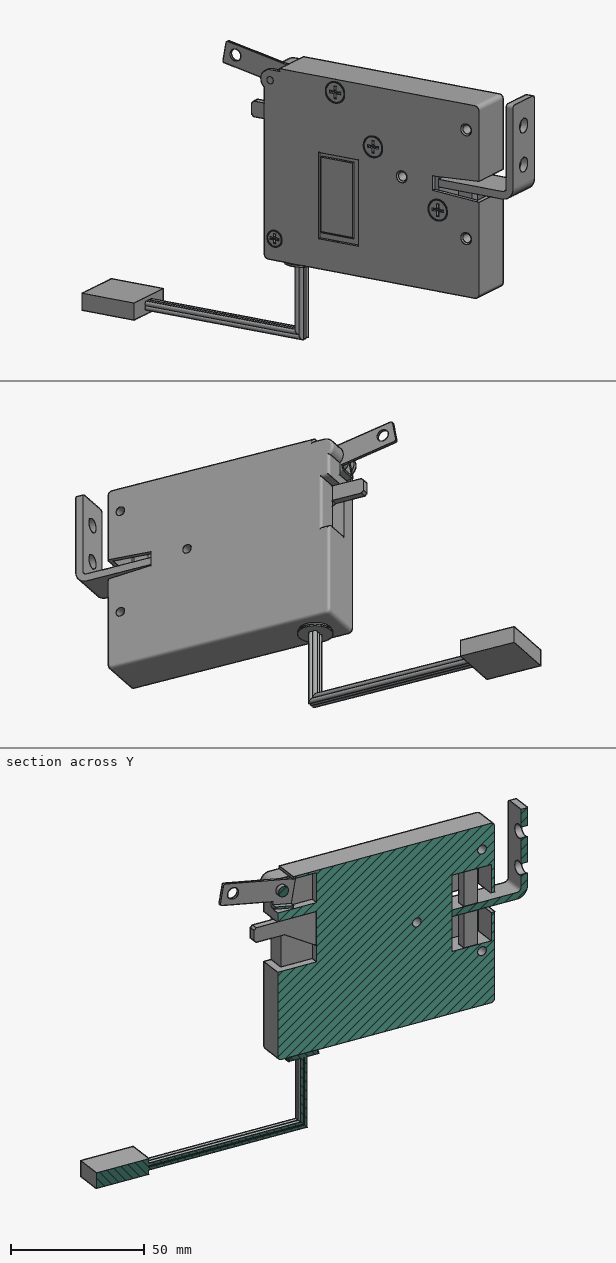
import cadquery as cq
import math

OVERALL_LENGTH = 187.2

HOUSING_LENGTH = 94.3
HOUSING_DEPTH = 18.2
HOUSING_HEIGHT = 75.6
CORNER_RADIUS = 1.9
BACK_RADIUS = 1.1
STEP_LENGTH = 6.7
STEP_DROP = 1.1

PIVOT_X = 2.6
PIVOT_Z = 70.4
STEP_Z = HOUSING_HEIGHT - STEP_DROP
LUG_RADIUS = STEP_Z - PIVOT_Z
LEVER_FRONT = 1.7
LEVER_BACK = 10.1
LEVER_POCKET_BOTTOM = 62.2
LEVER_POCKET_RIGHT = 16.8

LEVER_ANGLE = 10.5
LEVER_SHEET = 1.1
ARM_HOLE_REACH = 21.2
ARM_HOLE_DIAMETER = 4.7
ARM_TIP = 26.0
ARM_TOP = 4.1
ARM_BOTTOM = -4.7
ARM_TIP_RADIUS = 0.7
CHANNEL_INNER_END = -5.6
CHANNEL_OUTER_END = 2.6
CHANNEL_BOTTOM = -7.1
EAR_TOP = 3.7
EAR_RADIUS = 2.2

PIN_DIAMETER = 2.8
PIN_SLEEVE_DIAMETER = 4.5
PIN_LENGTH = 13.1

NOTCH_DEPTH = 3.2
PLUNGER_SLOT_DEPTH = 16.8
PLUNGER_SLOT_FRONT = 6.7
PLUNGER_SLOT_TOP = 58.2
PLUNGER_SLOT_BOTTOM = 37.3
PLUNGER_THICKNESS = 2.8
PLUNGER_REACH = 10.1
PLUNGER_HEIGHT = 6.2
PLUNGER_FOOT_DROP = 8.0
PLUNGER_TIP_CHAMFER = 1.0

SWITCH_LEFT = 23.8
SWITCH_RIGHT = 41.4
SWITCH_BOTTOM = 11.8
SWITCH_TOP = 45.7
SWITCH_POCKET_DEPTH = 1.3
ROCKER_LEFT_GAP = 1.1
ROCKER_RIGHT_GAP = 2.6
ROCKER_TOP_GAP = 1.7
ROCKER_BOTTOM_GAP = 2.2
ROCKER_BEVEL = 0.7

MOUNTING_HOLES = [(88.7, 65.5), (60.5, 42.3), (88.7, 22.8)]
MOUNTING_HOLE_DIAMETER = 3.5
MOUNTING_HOLE_CHAMFER = 0.5

LARGE_SCREWS = [(31.0, 70.4), (47.7, 51.9), (76.2, 31.8)]
LARGE_HEAD_DIAMETER = 7.9
LARGE_CROSS_LENGTH = 4.9
SMALL_SCREWS = [(4.5, 8.5)]
SMALL_HEAD_DIAMETER = 6.0
SMALL_CROSS_LENGTH = 3.7
HEAD_GROOVE_WIDTH = 0.28
HEAD_GROOVE_DEPTH = 0.5
CROSS_WIDTH = 1.0
CROSS_DEPTH = 1.5

STRIKER_SLOT_LEFT = 74.0
STRIKER_SLOT_END_HEIGHT = 5.6
STRIKER_SLOT_MOUTH_HEIGHT = 8.2
STRIKER_SLOT_LEDGE = 1.9
COVER_THICKNESS = 1.7
CAVITY_BOTTOM = 26.2
CAVITY_TOP = 58.0
GUIDE_LEFT = 80.9
GUIDE_LENGTH = 6.0
GUIDE_DEPTH = 3.7

STRIKER_SHEET = 3.0
STRIKER_RIGHT = 108.5
STRIKER_BOTTOM = 40.6
STRIKER_TOP = 78.0
STRIKER_FRONT = 1.1
STRIKER_WIDTH = 15.4
STRIKER_INNER_RADIUS = 1.7
STRIKER_CORNER_RADIUS = 1.3
STRIKER_HOLE_COUNT = 2
STRIKER_HOLE_DIAMETER = 5.6
STRIKER_HOLE_FROM_TOP = 10.0
STRIKER_HOLE_SPACING = 15.4

CABLE_X = 11.5
CABLE_Y = 8.2
CABLE_Z = -29.8
GROMMET_DIAMETER = 13.3
GROMMET_NECK_DIAMETER = 12.4
GROMMET_HEIGHT = 1.7
GROMMET_FLANGE = 0.7
WIRE_DIAMETER = 1.9
WIRE_PITCH = 1.7
WIRE_LAYERS = 2
WIRES_PER_LAYER = 3
CONNECTOR_LEFT = STRIKER_RIGHT - OVERALL_LENGTH
CONNECTOR_LENGTH = 22.8
CONNECTOR_WIDTH = 21.0
CONNECTOR_HEIGHT = 6.7

STRIKER_MIDDLE_Z = STRIKER_BOTTOM + STRIKER_SHEET / 2
STRIKER_END = STRIKER_SLOT_LEFT + STRIKER_SLOT_LEDGE


def block(x0, x1, y0, y1, z0, z1):
    return cq.Workplane("XY").box(x1 - x0, y1 - y0, z1 - z0, centered=False).translate((x0, y0, z0))


def sketch_plane(y):
    """XZ plane at the given Y; extruding by a negative length goes toward +Y."""
    return cq.Workplane("XZ", origin=(0, y, 0))


def rod(x, z, diameter, y0, y1):
    return sketch_plane(y0).center(x, z).circle(diameter / 2).extrude(y0 - y1)


def plunger_notch():
    """Shallow notch in the left side, open to the back."""
    return block(0, NOTCH_DEPTH, LEVER_BACK, HOUSING_DEPTH, PLUNGER_SLOT_BOTTOM, PLUNGER_SLOT_TOP)


def housing_shell():
    arc_bottom_z = PIVOT_Z - math.sqrt(LUG_RADIUS**2 - PIVOT_X**2)
    shell = (
        sketch_plane(0)
        .moveTo(0, 0)
        .lineTo(HOUSING_LENGTH, 0)
        .lineTo(HOUSING_LENGTH, HOUSING_HEIGHT)
        .lineTo(STEP_LENGTH, HOUSING_HEIGHT)
        .lineTo(STEP_LENGTH, STEP_Z)
        .lineTo(PIVOT_X, STEP_Z)
        .threePointArc((PIVOT_X - LUG_RADIUS, PIVOT_Z), (0, arc_bottom_z))
        .close()
        .extrude(-HOUSING_DEPTH)
    )
    bottom_left = cq.selectors.NearestToPointSelector((0, HOUSING_DEPTH / 2, 0))
    shell = shell.edges("|Y").edges(">X").fillet(CORNER_RADIUS)
    shell = shell.edges(bottom_left).fillet(CORNER_RADIUS)
    shell = shell.cut(plunger_notch())
    return shell.faces(">Y").edges().fillet(BACK_RADIUS)


def lever_pocket():
    """Opening around the lever; its inner end reaches under the top wall."""
    pocket_left = PIVOT_X - LUG_RADIUS
    return block(pocket_left, LEVER_POCKET_RIGHT, LEVER_FRONT, LEVER_BACK, LEVER_POCKET_BOTTOM, STEP_Z)


def plunger_slot():
    return block(
        0, PLUNGER_SLOT_DEPTH, PLUNGER_SLOT_FRONT, LEVER_BACK, PLUNGER_SLOT_BOTTOM, PLUNGER_SLOT_TOP
    )


def switch_recess():
    """The pocket around the rocker; the rocker stays flush with the front face."""
    pocket = block(SWITCH_LEFT, SWITCH_RIGHT, 0, SWITCH_POCKET_DEPTH, SWITCH_BOTTOM, SWITCH_TOP)
    rocker = block(
        SWITCH_LEFT + ROCKER_LEFT_GAP,
        SWITCH_RIGHT - ROCKER_RIGHT_GAP,
        0,
        SWITCH_POCKET_DEPTH,
        SWITCH_BOTTOM + ROCKER_BOTTOM_GAP,
        SWITCH_TOP - ROCKER_TOP_GAP,
    )
    rocker = rocker.faces("<Z").edges("<Y").chamfer(ROCKER_BEVEL)
    return pocket.cut(rocker)


def mounting_hole(x, z):
    mouth_radius = MOUNTING_HOLE_DIAMETER / 2 + MOUNTING_HOLE_CHAMFER
    hole = rod(x, z, MOUNTING_HOLE_DIAMETER, 0, HOUSING_DEPTH)
    mouth = cq.Solid.makeCone(
        mouth_radius, mouth_radius - MOUNTING_HOLE_CHAMFER, MOUNTING_HOLE_CHAMFER,
        cq.Vector(x, 0, z), cq.Vector(0, 1, 0),
    )
    return hole.union(cq.Workplane(mouth))


def screw_recess(x, z, head_diameter, cross_length):
    """Ring groove around a screw head and the cross recess in it."""
    groove_diameter = head_diameter + 2 * HEAD_GROOVE_WIDTH
    groove = rod(x, z, groove_diameter, 0, HEAD_GROOVE_DEPTH)
    groove = groove.cut(rod(x, z, head_diameter, 0, HEAD_GROOVE_DEPTH))
    face = sketch_plane(0).center(x, z)
    cross = face.rect(cross_length, CROSS_WIDTH).extrude(-CROSS_DEPTH)
    cross = cross.union(face.rect(CROSS_WIDTH, cross_length).extrude(-CROSS_DEPTH))
    return groove.union(cross)


def striker_opening():
    """Tapered slot, cavity between front and back walls, and the guide left standing around the striker."""
    end_half = STRIKER_SLOT_END_HEIGHT / 2
    mouth_half = STRIKER_SLOT_MOUTH_HEIGHT / 2
    slot = (
        sketch_plane(0)
        .moveTo(STRIKER_SLOT_LEFT, STRIKER_MIDDLE_Z - end_half)
        .lineTo(HOUSING_LENGTH, STRIKER_MIDDLE_Z - mouth_half)
        .lineTo(HOUSING_LENGTH, STRIKER_MIDDLE_Z + mouth_half)
        .lineTo(STRIKER_SLOT_LEFT, STRIKER_MIDDLE_Z + end_half)
        .close()
        .extrude(-HOUSING_DEPTH)
    )
    ledge = block(
        STRIKER_SLOT_LEFT, STRIKER_END, COVER_THICKNESS, HOUSING_DEPTH, CAVITY_BOTTOM, CAVITY_TOP
    )
    cavity = block(
        STRIKER_END, HOUSING_LENGTH - COVER_THICKNESS,
        COVER_THICKNESS, HOUSING_DEPTH - COVER_THICKNESS,
        CAVITY_BOTTOM, CAVITY_TOP,
    )
    guide_front = (HOUSING_DEPTH - GUIDE_DEPTH) / 2
    guide = block(
        GUIDE_LEFT, GUIDE_LEFT + GUIDE_LENGTH,
        guide_front, guide_front + GUIDE_DEPTH,
        CAVITY_BOTTOM, CAVITY_TOP,
    )
    striker_space = block(
        STRIKER_END, HOUSING_LENGTH,
        STRIKER_FRONT, STRIKER_FRONT + STRIKER_WIDTH,
        STRIKER_BOTTOM, STRIKER_BOTTOM + STRIKER_SHEET,
    )
    return slot.cut(ledge).union(cavity).cut(guide.cut(striker_space))


def make_housing():
    housing = housing_shell()
    housing = housing.cut(lever_pocket()).cut(plunger_slot())
    housing = housing.cut(switch_recess()).cut(striker_opening())
    housing = housing.cut(rod(PIVOT_X, PIVOT_Z, PIN_DIAMETER, 0, PIN_LENGTH))
    for x, z in MOUNTING_HOLES:
        housing = housing.cut(mounting_hole(x, z))
    for x, z in LARGE_SCREWS:
        housing = housing.cut(screw_recess(x, z, LARGE_HEAD_DIAMETER, LARGE_CROSS_LENGTH))
    for x, z in SMALL_SCREWS:
        housing = housing.cut(screw_recess(x, z, SMALL_HEAD_DIAMETER, SMALL_CROSS_LENGTH))
    return housing


def make_lever():
    """Built level with the pivot at the origin and the arm along -X, then tilted tip-up."""
    arm = block(-ARM_TIP, -CHANNEL_INNER_END, LEVER_BACK - LEVER_SHEET, LEVER_BACK, ARM_BOTTOM, ARM_TOP)
    arm = arm.edges("|Y").edges("<X").fillet(ARM_TIP_RADIUS)
    arm = arm.cut(rod(-ARM_HOLE_REACH, 0, ARM_HOLE_DIAMETER, 0, LEVER_BACK))
    channel = block(
        -CHANNEL_OUTER_END, -CHANNEL_INNER_END, LEVER_FRONT, LEVER_BACK, CHANNEL_BOTTOM, EAR_TOP
    )
    channel = channel.edges("|X").edges("<Z").fillet(LEVER_SHEET)
    channel = channel.cut(
        block(
            -CHANNEL_OUTER_END, -CHANNEL_INNER_END, LEVER_FRONT + LEVER_SHEET, LEVER_BACK - LEVER_SHEET,
            CHANNEL_BOTTOM + LEVER_SHEET, EAR_TOP,
        )
    )
    channel = channel.edges("|Y").edges(">Z").edges("<Y").fillet(EAR_RADIUS)
    lever = arm.union(channel).cut(rod(0, 0, PIN_DIAMETER, 0, LEVER_BACK))
    return lever.rotate((0, 0, 0), (0, 1, 0), LEVER_ANGLE).translate((PIVOT_X, 0, PIVOT_Z))


def make_pivot_pin():
    pin = rod(PIVOT_X, PIVOT_Z, PIN_DIAMETER, 0, PIN_LENGTH)
    sleeve = rod(PIVOT_X, PIVOT_Z, PIN_SLEEVE_DIAMETER, LEVER_FRONT + LEVER_SHEET, LEVER_BACK - LEVER_SHEET)
    return pin.union(sleeve)


def make_plunger():
    """A bar that leaves the slot, with a sloped foot below it inside."""
    bar_bottom = PLUNGER_SLOT_TOP - PLUNGER_HEIGHT
    plunger = (
        sketch_plane(LEVER_BACK - PLUNGER_THICKNESS)
        .moveTo(-PLUNGER_REACH, bar_bottom)
        .lineTo(NOTCH_DEPTH, bar_bottom)
        .lineTo(PLUNGER_SLOT_DEPTH, bar_bottom - PLUNGER_FOOT_DROP)
        .lineTo(PLUNGER_SLOT_DEPTH, PLUNGER_SLOT_TOP)
        .lineTo(-PLUNGER_REACH, PLUNGER_SLOT_TOP)
        .close()
        .extrude(-PLUNGER_THICKNESS)
    )
    return plunger.edges("|Y").edges("<X").chamfer(PLUNGER_TIP_CHAMFER)


def make_striker():
    leg_left = STRIKER_RIGHT - STRIKER_SHEET
    plate_top = STRIKER_BOTTOM + STRIKER_SHEET
    striker = (
        sketch_plane(STRIKER_FRONT)
        .moveTo(STRIKER_END, STRIKER_BOTTOM)
        .lineTo(STRIKER_RIGHT, STRIKER_BOTTOM)
        .lineTo(STRIKER_RIGHT, STRIKER_TOP)
        .lineTo(leg_left, STRIKER_TOP)
        .lineTo(leg_left, plate_top)
        .lineTo(STRIKER_END, plate_top)
        .close()
        .extrude(-STRIKER_WIDTH)
    )
    middle_y = STRIKER_FRONT + STRIKER_WIDTH / 2
    inner_bend = cq.selectors.NearestToPointSelector((leg_left, middle_y, plate_top))
    outer_bend = cq.selectors.NearestToPointSelector((STRIKER_RIGHT, middle_y, STRIKER_BOTTOM))
    striker = striker.edges(inner_bend).fillet(STRIKER_INNER_RADIUS)
    striker = striker.edges(outer_bend).fillet(STRIKER_INNER_RADIUS + STRIKER_SHEET)
    striker = striker.edges("|X").edges(">Z").fillet(STRIKER_CORNER_RADIUS)
    for index in range(STRIKER_HOLE_COUNT):
        hole_z = STRIKER_TOP - STRIKER_HOLE_FROM_TOP - index * STRIKER_HOLE_SPACING
        hole = (
            cq.Workplane("YZ", origin=(leg_left, middle_y, hole_z))
            .circle(STRIKER_HOLE_DIAMETER / 2)
            .extrude(STRIKER_SHEET)
        )
        striker = striker.cut(hole)
    return striker


def wire(layer_offset, y):
    """One wire that drops from the grommet, turns a mitred corner and runs to the connector."""
    corner_x = CABLE_X + layer_offset
    corner_z = CABLE_Z - layer_offset
    path = (
        cq.Workplane("XZ", origin=(0, y, 0))
        .moveTo(corner_x, -GROMMET_HEIGHT)
        .lineTo(corner_x, corner_z)
        .lineTo(CONNECTOR_LEFT + CONNECTOR_LENGTH, corner_z)
    )
    profile = cq.Workplane("XY", origin=(corner_x, y, -GROMMET_HEIGHT)).circle(WIRE_DIAMETER / 2)
    return profile.sweep(path, transition="right")


def make_cable():
    flange_top = GROMMET_FLANGE - GROMMET_HEIGHT
    grommet = cq.Workplane("XY", origin=(CABLE_X, CABLE_Y, -GROMMET_HEIGHT))
    flange = grommet.circle(GROMMET_DIAMETER / 2).extrude(GROMMET_FLANGE)
    cable = flange.union(
        cq.Workplane("XY", origin=(CABLE_X, CABLE_Y, flange_top))
        .circle(GROMMET_NECK_DIAMETER / 2)
        .extrude(-flange_top)
    )
    connector_center_x = CONNECTOR_LEFT + CONNECTOR_LENGTH / 2
    connector = cq.Workplane("XY").box(CONNECTOR_LENGTH, CONNECTOR_WIDTH, CONNECTOR_HEIGHT)
    cable = cable.union(connector.translate((connector_center_x, CABLE_Y, CABLE_Z)))
    for layer in range(WIRE_LAYERS):
        layer_offset = (layer - (WIRE_LAYERS - 1) / 2) * WIRE_PITCH
        for position in range(WIRES_PER_LAYER):
            y = CABLE_Y + (position - (WIRES_PER_LAYER - 1) / 2) * WIRE_PITCH
            cable = cable.union(wire(layer_offset, y))
    return cable


housing = make_housing()
lever = make_lever()
pivot_pin = make_pivot_pin()
plunger = make_plunger()
striker = make_striker()
cable = make_cable()

bodies = [housing, lever, pivot_pin, plunger, striker, cable]
result = cq.Compound.makeCompound([body.solids().val() for body in bodies])